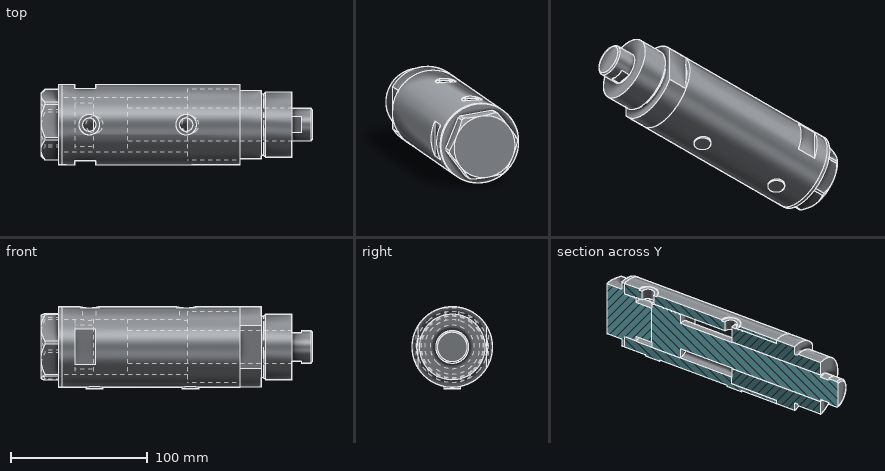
import cadquery as cq
import math

body_radius = 59.0 / 2
overall_length = 198.42

cap_flange_start = 12.7
tube_start = 15.2
gland_start = 145.5
gland_collar_end = 161.0
nose_end = 183.3

hex_across_flats = 46.0
hex_corner_radius = 52.0 / 2
hex_tilt = 7.0
cap_spigot_end = 25.0
cap_nose_radius = 16.0
cap_nose_end = 38.3

bore_radius = 20.0
gland_seat_radius = 26.0
gland_seat_start = 107.1
port_positions = (35.3, 106.1)
port_diameter = 9.7
spotface_diameter = 15.0
spotface_depth = 1.2
tube_flat_start = 24.7
tube_flat_length = 15.2
tube_across_flats = 53.0
boss_positions = (39.1, 109.1)
boss_diameter = 12.4
boss_height = 1.1

collar_across_flats = 50.0
nose_radius = 48.0 / 2
relief_depth = 1.5
relief_width = 1.7
relief_fillet = 0.5

rod_radius = 24.0 / 2
piston_length = 25.0
rod_end_chamfer = 1.2
rod_flat_end = 190.3
rod_across_flats = 21.0


def cylinder(start, end, radius):
    """Solid cylinder along X from start to end."""
    return cq.Workplane("YZ", origin=(start, 0, 0)).circle(radius).extrude(end - start)


def turned(profile):
    """Revolve an (x, radius) outline about the X axis."""
    return cq.Workplane("XY").polyline(profile).close().revolve(360, (0, 0, 0), (1, 0, 0))


def flats_cutter(start, length, across_flats, radius, normal_axis):
    """Two blocks that leave a pair of parallel flats, with their normals along Y or Z."""
    depth = radius - across_flats / 2
    width = 2 * radius
    offset = across_flats / 2 + depth / 2
    middle = start + length / 2
    if normal_axis == "Y":
        block = cq.Workplane("XY").box(length, depth, width)
        return block.translate((middle, offset, 0)).union(block.translate((middle, -offset, 0)))
    block = cq.Workplane("XY").box(length, width, depth)
    return block.translate((middle, 0, offset)).union(block.translate((middle, 0, -offset)))


def make_cap():
    """Hex-headed end cap with a flange, a spigot in the bore and a slimmer stop nose."""
    hexagon = (
        cq.Workplane("YZ")
        .polygon(6, hex_across_flats / math.cos(math.radians(30)))
        .extrude(cap_flange_start)
        .rotate((0, 0, 0), (1, 0, 0), -hex_tilt)
    )
    face_radius = hex_across_flats / 2
    envelope = turned([
        (0, 0),
        (0, face_radius),
        (hex_corner_radius - face_radius, hex_corner_radius),
        (cap_flange_start, hex_corner_radius),
        (cap_flange_start, 0),
    ])
    head = hexagon.intersect(envelope)
    flange = cylinder(cap_flange_start, tube_start, body_radius)
    spigot = cylinder(tube_start, cap_spigot_end, bore_radius)
    nose = cylinder(cap_spigot_end, cap_nose_end, cap_nose_radius)
    return head.union(flange).union(spigot).union(nose)


def make_tube():
    """Cylinder tube with spanner flats, two ports on top and two round bosses underneath."""
    tube = cylinder(tube_start, gland_start, body_radius)
    for x in boss_positions:
        boss = (
            cq.Workplane("XY", origin=(x, 0, -body_radius - boss_height))
            .circle(boss_diameter / 2)
            .extrude(body_radius - gland_seat_radius + boss_height)
        )
        tube = tube.union(boss)
    tube = tube.cut(cylinder(tube_start, gland_seat_start, bore_radius))
    tube = tube.cut(cylinder(gland_seat_start, gland_start, gland_seat_radius))
    tube = tube.cut(
        flats_cutter(tube_flat_start, tube_flat_length, tube_across_flats, body_radius, "Y")
    )
    for x in port_positions:
        port = cq.Workplane("XY", origin=(x, 0, 0)).circle(port_diameter / 2).extrude(body_radius)
        spotface = (
            cq.Workplane("XY", origin=(x, 0, body_radius - spotface_depth))
            .circle(spotface_diameter / 2)
            .extrude(spotface_depth)
        )
        tube = tube.cut(port).cut(spotface)
    return tube


def make_gland():
    """Rod gland: spigot inside the tube, collar with flats, thread relief and nose."""
    relief_radius = nose_radius - relief_depth
    relief_end = gland_collar_end + relief_width
    gland = turned([
        (gland_seat_start, rod_radius),
        (gland_seat_start, gland_seat_radius),
        (gland_start, gland_seat_radius),
        (gland_start, body_radius),
        (gland_collar_end, body_radius),
        (gland_collar_end, relief_radius),
        (relief_end, relief_radius),
        (relief_end + relief_depth, nose_radius),
        (nose_end, nose_radius),
        (nose_end, rod_radius),
    ])
    relief_corner_edges = gland.edges("%CIRCLE").edges(cq.selectors.RadiusNthSelector(1))
    gland = relief_corner_edges.fillet(relief_fillet)
    collar_length = gland_collar_end - gland_start
    return gland.cut(
        flats_cutter(gland_start, collar_length, collar_across_flats, body_radius, "Y")
    )


def make_piston_rod():
    """Piston against the cap nose, with a rod that has flats and a chamfered end."""
    piston = cylinder(cap_nose_end, cap_nose_end + piston_length, bore_radius)
    rod = cylinder(cap_nose_end, overall_length, rod_radius).faces(">X").chamfer(rod_end_chamfer)
    flats_length = rod_flat_end - nose_end
    rod = rod.cut(flats_cutter(nose_end, flats_length, rod_across_flats, rod_radius, "Z"))
    return piston.union(rod)


cap = make_cap()
tube = make_tube()
gland = make_gland()
piston_rod = make_piston_rod()

result = cq.Compound.makeCompound([cap.val(), tube.val(), gland.val(), piston_rod.val()])